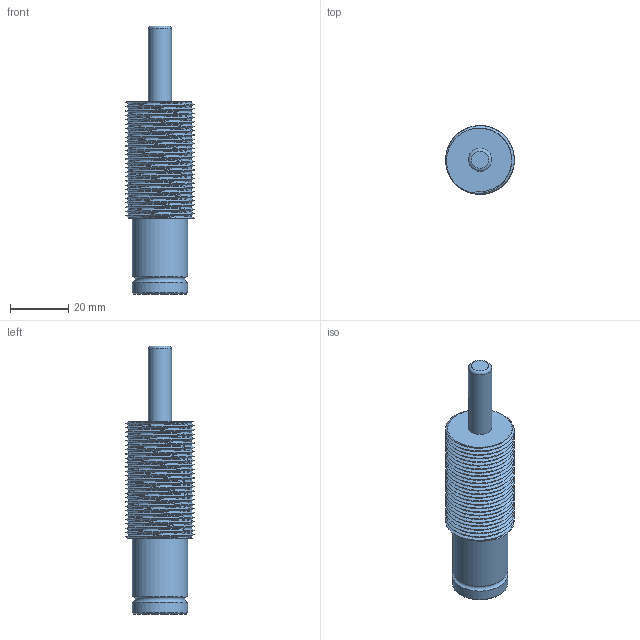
import cadquery as cq
import math

BARREL_RADIUS = 9.5
BARREL_LENGTH = 26.0
END_CHAMFER = 0.5

GROOVE_RADIUS = 1.0
GROOVE_HEIGHT = 5.0

THREAD_LENGTH = 40.0
THREAD_PITCH = 1.5
CREST_RADIUS = 11.785
THREAD_DEPTH = 0.92
FLANK_ANGLE = 30.0
CREST_LEAD = 0.07
FOOT_OVERLAP = 0.1
RUN_OUT_TURNS = 2

ROD_RADIUS = 4.0
ROD_LENGTH = 26.0
ROD_FILLET = 1.0

THREAD_TOP = BARREL_LENGTH + THREAD_LENGTH
ROOT_RADIUS = CREST_RADIUS - THREAD_DEPTH


def cylinder(radius, bottom, length):
    """Cylinder on the Z axis, standing on the given height."""
    return cq.Workplane("XY").workplane(offset=bottom).circle(radius).extrude(length)


def make_barrel():
    """Chamfered cylinder with the half-round groove turned into it."""
    barrel = cylinder(BARREL_RADIUS, 0, BARREL_LENGTH)
    barrel = barrel.faces("<Z").chamfer(END_CHAMFER)
    groove = cq.Workplane("XY").add(cq.Solid.makeTorus(BARREL_RADIUS, GROOVE_RADIUS))
    return barrel.cut(groove.translate((0, 0, GROOVE_HEIGHT)))


def make_thread_ridge():
    """Sharp-crested helical ridge, longer than the threaded section at both ends."""
    foot_radius = ROOT_RADIUS - FOOT_OVERLAP
    half_width = (CREST_RADIUS - foot_radius) * math.tan(math.radians(FLANK_ANGLE))
    run_out = RUN_OUT_TURNS * THREAD_PITCH
    helix = cq.Wire.makeHelix(THREAD_PITCH, THREAD_LENGTH + 2 * run_out, foot_radius)
    section = cq.Workplane("XZ").polyline(
        [(foot_radius, -half_width), (CREST_RADIUS, 0), (foot_radius, half_width)]
    ).close()
    ridge = section.sweep(cq.Workplane("XY").add(helix), isFrenet=True)
    return ridge.translate((0, 0, BARREL_LENGTH + CREST_LEAD - run_out))


def make_threaded_section():
    """Core cylinder carrying the ridge, with both ends cut flat."""
    blank_extra = 2 * RUN_OUT_TURNS * THREAD_PITCH
    blank = cylinder(ROOT_RADIUS, BARREL_LENGTH - blank_extra, THREAD_LENGTH + 2 * blank_extra)
    envelope = cylinder(CREST_RADIUS + THREAD_DEPTH, BARREL_LENGTH, THREAD_LENGTH)
    return blank.union(make_thread_ridge()).intersect(envelope)


def make_rod():
    """Plain rod with a rounded tip."""
    rod = cylinder(ROD_RADIUS, THREAD_TOP, ROD_LENGTH)
    return rod.faces(">Z").edges().fillet(ROD_FILLET)


result = make_threaded_section().union(make_barrel()).union(make_rod())